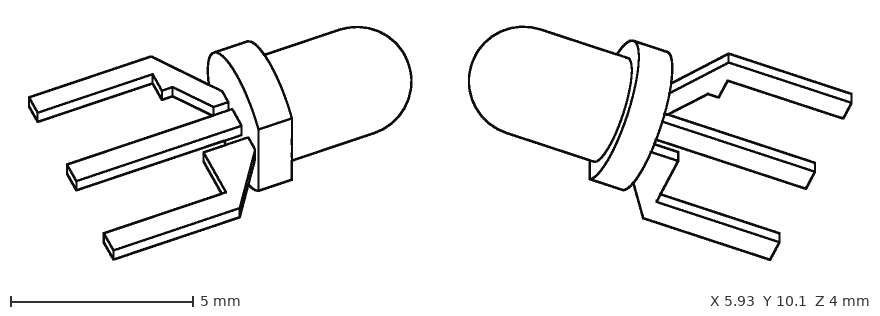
import cadquery as cq
import math

body_radius = 1.5
body_length = 2.6
flange_radius = 2.0
flange_thickness = 1.0
flat_x = body_radius

lead_thickness = 0.4
lead_length = 5.0
short_lead_length = 4.95

middle_lead_left = -0.31
middle_lead_right = 0.34

left_lead_outer = -2.92
left_lead_inner = -2.32
left_root_x = -0.58
left_root_outer_x = -1.00
left_root_depth = 0.44
left_shoulder_depth = 1.29
left_step_x = -1.68
left_step_top_depth = 1.19
left_step_bottom_depth = 1.51

right_lead_outer = 3.01
right_lead_inner = 2.34
right_root_x = 0.79
right_root_outer_x = 1.27
right_shoulder_depth = 1.22
right_web_depth = 1.34


def make_flange():
    """Round flange with one flat, standing on the XZ plane."""
    flat_half_width = math.sqrt(flange_radius**2 - flat_x**2)
    outline = (
        cq.Workplane("XZ")
        .moveTo(flat_x, flat_half_width)
        .threePointArc((-flange_radius, 0), (flat_x, -flat_half_width))
        .close()
    )
    return outline.extrude(-flange_thickness)


def make_lens():
    """Cylindrical body closed by a hemispherical dome, revolved about the Y axis."""
    dome_start = flange_thickness + body_length
    arc_reach = body_radius * math.cos(math.pi / 4)
    half_profile = (
        cq.Workplane("XY")
        .lineTo(body_radius, 0)
        .lineTo(body_radius, dome_start)
        .threePointArc((arc_reach, dome_start + arc_reach), (0, dome_start + body_radius))
        .close()
    )
    return half_profile.revolve(360, (0, 0, 0), (0, 1, 0))


def make_lead(outline):
    """Flat lead, centred on Z = 0, from its XY outline."""
    return cq.Workplane("XY").polyline(outline).close().extrude(lead_thickness / 2, both=True)


left_lead = make_lead([
    (left_root_x, 0),
    (left_root_outer_x, 0),
    (left_lead_outer, -left_shoulder_depth),
    (left_lead_outer, -short_lead_length),
    (left_lead_inner, -short_lead_length),
    (left_lead_inner, -left_step_bottom_depth),
    (left_step_x, -left_step_bottom_depth),
    (left_step_x, -left_step_top_depth),
    (left_root_x, -left_root_depth),
])

middle_lead = make_lead([
    (middle_lead_left, 0),
    (middle_lead_left, -short_lead_length),
    (middle_lead_right, -short_lead_length),
    (middle_lead_right, 0),
])

right_lead = make_lead([
    (right_root_x, 0),
    (right_root_outer_x, 0),
    (right_lead_outer, -right_shoulder_depth),
    (right_lead_outer, -lead_length),
    (right_lead_inner, -lead_length),
    (right_lead_inner, -right_web_depth),
    (right_root_x, -right_web_depth),
])

result = make_flange().union(make_lens())
for lead in (left_lead, middle_lead, right_lead):
    result = result.union(lead)